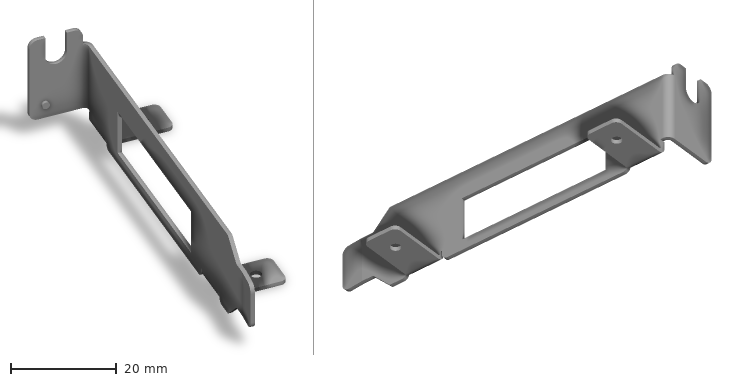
import cadquery as cq
import math

length = 80.1
thickness = 0.9
bend_inner = 0.8
bend_outer = bend_inner + thickness

plate_height = 18.3
taper_start = 68.15
taper = 4.1
tongue_bottom = taper
tongue_top = plate_height - taper
bend_x = 74.9
tongue_angle = 5.0
tongue_radius = 1.7

window_left = 15.5
window_right = 50.6
window_bottom = 2.5
window_top = 12.2

flange_bottom = 3.45
flange_top = 22.0
flange_front = -12.7
flange_shoulder = -bend_outer
flange_radius = 1.8
slot_y = -7.2
slot_width = 4.4
slot_depth = 6.65

relief_depth = 0.3
relief_height = 0.4

pin_diameter = 1.5
pin_height = 0.65
pin_y = -9.5
pin_z = 6.65

tab_width = 8.0
tab_lefts = (1.85, 55.7)
tab_back = 13.4
tab_radius = 1.4
tab_hole_diameter = 2.25
tab_hole_y = 8.6
notch_gap = 0.3
notch_top = 2.1
notch_radius = 1.2


def box(x0, x1, y0, y1, z0, z1):
    """Box between two opposite corners."""
    return cq.Workplane("XY").box(x1 - x0, y1 - y0, z1 - z0, centered=False).translate((x0, y0, z0))


def quarter_bend(plane):
    """Bend section about the origin, in the positive quadrant of the given plane."""
    diagonal = math.sqrt(0.5)
    return (
        cq.Workplane(plane)
        .moveTo(bend_inner, 0)
        .lineTo(bend_outer, 0)
        .threePointArc((bend_outer * diagonal, bend_outer * diagonal), (0, bend_outer))
        .lineTo(0, bend_inner)
        .threePointArc((bend_inner * diagonal, bend_inner * diagonal), (bend_inner, 0))
        .close()
    )


def make_plate():
    """Flat plate with tapered end and connector window."""
    outline = [
        (bend_outer, 0),
        (taper_start, 0),
        (taper_start + taper, tongue_bottom),
        (bend_x, tongue_bottom),
        (bend_x, tongue_top),
        (taper_start + taper, tongue_top),
        (taper_start, plate_height),
        (bend_outer, plate_height),
    ]
    plate = cq.Workplane("XZ").polyline(outline).close().extrude(thickness)
    relief_bottom = flange_bottom - relief_height
    relief_right = tab_lefts[0] + relief_depth
    plate = plate.cut(box(bend_outer, relief_right, -thickness, 0, relief_bottom, flange_bottom))
    plate = plate.cut(box(bend_outer, tab_lefts[0], -thickness, 0, 0, relief_bottom))
    return plate.cut(box(window_left, window_right, -thickness, 0, window_bottom, window_top))


def cut_tab_notches(plate):
    """Clear the lower edge around each tab, rounding the corners left on the plate."""
    for left in tab_lefts:
        right = left + tab_width
        plate = plate.cut(box(left - notch_gap, right + notch_gap, -thickness, 0, 0, notch_top))
        corners = [right + notch_gap]
        if left != tab_lefts[0]:
            corners.append(left - notch_gap)
        for corner in corners:
            corner_edge = cq.selectors.NearestToPointSelector((corner, -thickness / 2, 0))
            plate = plate.edges(corner_edge).fillet(notch_radius)
    return plate


def make_tongue():
    """Rounded end tongue, bent slightly towards the front."""
    angle = math.radians(tongue_angle)
    reach = (length - bend_x) / math.cos(angle)
    tongue = box(bend_x, bend_x + reach, -thickness, 0, tongue_bottom, tongue_top)
    tongue = tongue.edges(">X and |Y").fillet(tongue_radius)
    return tongue.rotate((bend_x, 0, 0), (bend_x, 0, 1), -tongue_angle)


def make_flange():
    """Screw flange with open slot, bend and alignment pin."""
    flange = box(0, thickness, flange_front, flange_shoulder, flange_bottom, flange_top)
    flange = flange.edges("|X and (<Y or >Z)").fillet(flange_radius)
    slot_radius = slot_width / 2
    slot_center_z = flange_top - slot_depth + slot_radius
    slot = box(0, thickness, slot_y - slot_radius, slot_y + slot_radius, slot_center_z, flange_top)
    slot_end = cq.Workplane("YZ").center(slot_y, slot_center_z).circle(slot_radius).extrude(thickness)
    flange = flange.cut(slot).cut(slot_end)
    bend = quarter_bend("XY").extrude(plate_height - flange_bottom).rotate((0, 0, 0), (0, 0, 1), 90)
    bend = bend.translate((bend_outer, -bend_outer, flange_bottom))
    pin = cq.Workplane("YZ").center(pin_y, pin_z).circle(pin_diameter / 2).extrude(thickness + pin_height)
    return flange.union(bend).union(pin)


def make_tab(left):
    """Rear tab with rounded corners and a hole, bent from the lower edge."""
    right = left + tab_width
    bend_center_y = bend_inner
    tab = box(left, right, bend_center_y, tab_back, 0, thickness)
    tab = tab.edges("|Z and >Y").fillet(tab_radius)
    hole = (
        cq.Workplane("XY")
        .center(left + tab_width / 2, tab_hole_y)
        .circle(tab_hole_diameter / 2)
        .extrude(thickness)
    )
    bend = quarter_bend("YZ").extrude(tab_width).rotate((0, 0, 0), (1, 0, 0), 180)
    bend = bend.translate((left, bend_center_y, bend_outer))
    web = box(left, right, -thickness, 0, bend_outer, notch_top)
    return tab.cut(hole).union(bend).union(web)


result = cut_tab_notches(make_plate()).union(make_tongue()).union(make_flange())
for tab_left in tab_lefts:
    result = result.union(make_tab(tab_left))